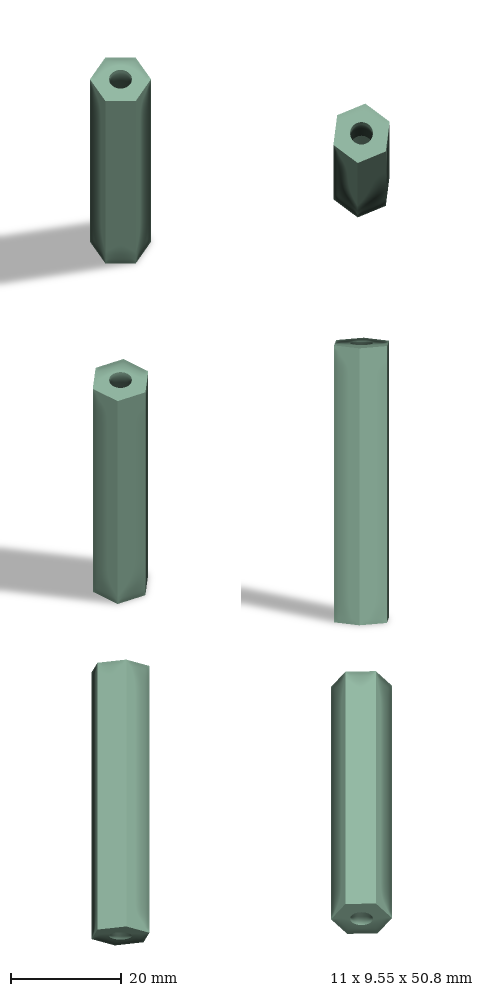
import cadquery as cq
import math

length = 50.8
across_flats = 9.55
across_corners = across_flats / math.cos(math.radians(30))

hole_diameter = 4.1
hole_depth = 12.7
drill_point_angle = 118.0

hole_radius = hole_diameter / 2
point_depth = hole_radius / math.tan(math.radians(drill_point_angle / 2))


def drilled_hole():
    """Hole opening at the top end, closed by a conical drill point."""
    wall_end = length / 2 - hole_depth
    half_section = (
        cq.Workplane("XZ")
        .moveTo(0, length / 2)
        .lineTo(hole_radius, length / 2)
        .lineTo(hole_radius, wall_end)
        .lineTo(0, wall_end - point_depth)
        .close()
    )
    return half_section.revolve(360, (0, 0, 0), (0, 1, 0))


body = cq.Workplane("XY").polygon(6, across_corners).extrude(length / 2, both=True)
top_hole = drilled_hole()
bottom_hole = top_hole.mirror("XY")
result = body.cut(top_hole).cut(bottom_hole)